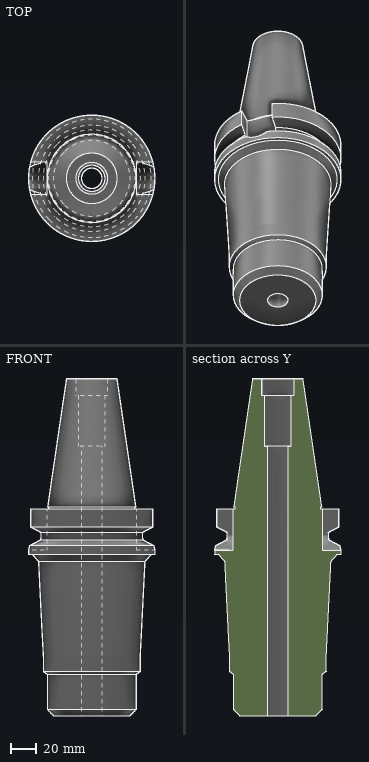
import cadquery as cq

total_length = 266.8
gauge_height = 165.1
flange_top = 163.8
groove_upper_edge = 149.5
groove_upper_floor = 145.1
groove_lower_floor = 139.3
groove_lower_edge = 134.7
flange_bottom = 127.5
body_top = 122.2
body_taper_end = 47.2
body_bottom = 35.2
collar_top = 32.8
nose_chamfer_start = 5.3

flange_radius = 50.02
taper_large_radius = 35.0
taper_small_radius = 20.0
relief_radius = 34.2
groove_radius = 42.2
flange_foot_radius = 47.0
body_top_radius = 42.2
body_end_radius = 38.5
collar_radius = 35.2
nose_radius = 30.1

through_radius = 8.0
thread_radius = 10.5
thread_bottom = 213.5
entry_radius = 12.5
entry_depth = 13.3

slot_width = 25.5
slot_bottom = 131.3
slot_floor_x = 35.5


def make_holder():
    """Revolve the taper, grooved flange, tapered body and nose about Z."""
    profile = [
        (0, 0),
        (nose_radius, 0),
        (collar_radius, nose_chamfer_start),
        (collar_radius, collar_top),
        (body_end_radius, body_bottom),
        (body_end_radius, body_taper_end),
        (body_top_radius, body_top),
        (flange_foot_radius, flange_bottom),
        (flange_radius, flange_bottom),
        (flange_radius, groove_lower_edge),
        (groove_radius, groove_lower_floor),
        (groove_radius, groove_upper_floor),
        (flange_radius, groove_upper_edge),
        (flange_radius, flange_top),
        (relief_radius, flange_top),
        (relief_radius, gauge_height),
        (taper_large_radius, gauge_height),
        (taper_small_radius, total_length),
        (0, total_length),
    ]
    return cq.Workplane("XZ").polyline(profile).close().revolve(360, (0, 0), (0, 1))


def bore(radius, bottom):
    """Cylinder on the axis from the given height up to the taper end."""
    return cq.Workplane("XY").workplane(offset=bottom).circle(radius).extrude(total_length - bottom)


def drive_slot(side):
    """Round-bottomed slot cutter, open upward and outward on one X side."""
    half_width = slot_width / 2
    arc_center = slot_bottom + half_width
    depth = flange_radius - slot_floor_x
    return (
        cq.Workplane("YZ", origin=(side * slot_floor_x, 0, 0))
        .moveTo(-half_width, flange_top)
        .lineTo(-half_width, arc_center)
        .threePointArc((0, slot_bottom), (half_width, arc_center))
        .lineTo(half_width, flange_top)
        .close()
        .extrude(side * depth)
    )


result = make_holder()
bore_steps = [
    (through_radius, 0),
    (thread_radius, thread_bottom),
    (entry_radius, total_length - entry_depth),
]
for step_radius, step_bottom in bore_steps:
    result = result.cut(bore(step_radius, step_bottom))
for slot_side in (-1, 1):
    result = result.cut(drive_slot(slot_side))